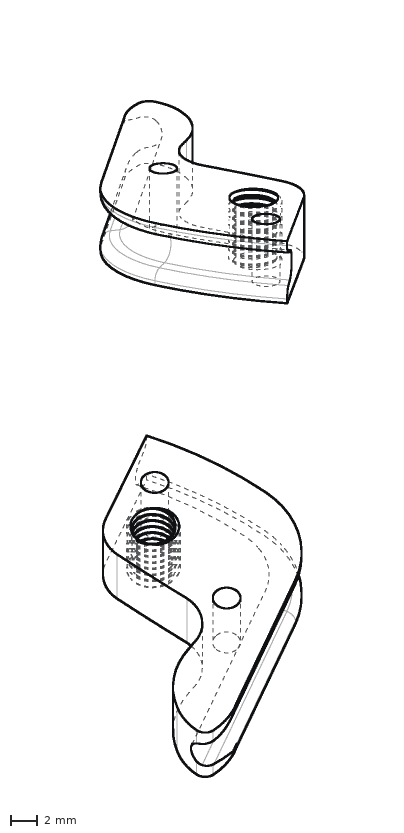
import cadquery as cq
import math

LENGTH = 30.2
HEIGHT = 5.1
MIDDLE = HEIGHT / 2

FLANK_ANGLE = math.radians(36.8)
BELLY_RADIUS = 8.2
BELLY_CENTER = (17.78, BELLY_RADIUS)
BELLY_END_ANGLE = math.radians(31.2)
NOSE = (LENGTH, 8.15)
FLANK_START_X = 2.3

CREST_START = (23.05, 13.62)
CREST_TOP = (21.2, 14.3)
CREST_END = (19.32, 13.85)
BACK_MIDDLE = (16.35, 12.0)
NECK_START = (13.45, 10.08)
NECK_BOTTOM = (11.53, 9.57)
NECK_END = (9.3, 10.57)
TAIL_START = (8.48, 11.53)
TAIL_SHOULDER = (6.28, 13.3)
TAIL_TOP = (3.2, 14.05)
TAIL_SLOPE = (1.8, 13.9)
TIP_START = (0.45, 13.3)
TIP_MIDDLE = (0.03, 12.75)
TIP_END = (0.05, 12.15)
TAIL_UNDERSIDE = (0.97, 10.7)

LIP_STRAIGHT = 0.35
GROOVE_RADIUS = 1.25
GROOVE_FLANK_ANGLE = math.radians(10.5)
GROOVE_DEPTH = 2.48
GROOVE_OVERRUN = 6.05
OUTSIDE_MARGIN = 0.9

PIN_DIAMETER = 2.1
PIN_CENTERS = [(12.62, 7.2), (25.45, 8.97)]
THREAD_CENTER = (21.4, 10.3)
THREAD_MINOR_DIAMETER = 3.32
THREAD_MAJOR_DIAMETER = 4.1
THREAD_PITCH = 0.7
THREAD_MOUTH = 0.65
THREAD_CREST = 0.1
THREAD_OVERLAP = 0.05
THREAD_TOP_ANGLE = 190.0


def belly_point(angle):
    """Point of the belly arc, at an angle measured from straight down."""
    return (
        BELLY_CENTER[0] + BELLY_RADIUS * math.sin(angle),
        BELLY_CENTER[1] - BELLY_RADIUS * math.cos(angle),
    )


BELLY_START = belly_point(-FLANK_ANGLE)
BELLY_BOTTOM = belly_point(0)
BELLY_END = belly_point(BELLY_END_ANGLE)


def flank_point(x):
    """Point at x on the straight flank or its extension."""
    return (x, BELLY_START[1] + (BELLY_START[0] - x) * math.tan(FLANK_ANGLE))


def make_plate():
    return (
        cq.Workplane("XY")
        .moveTo(*flank_point(FLANK_START_X))
        .lineTo(*BELLY_START)
        .threePointArc(BELLY_BOTTOM, BELLY_END)
        .tangentArcPoint(NOSE, relative=False)
        .lineTo(*CREST_START)
        .threePointArc(CREST_TOP, CREST_END)
        .threePointArc(BACK_MIDDLE, NECK_START)
        .threePointArc(NECK_BOTTOM, NECK_END)
        .lineTo(*TAIL_START)
        .threePointArc(TAIL_SHOULDER, TAIL_TOP)
        .threePointArc(TAIL_SLOPE, TIP_START)
        .threePointArc(TIP_MIDDLE, TIP_END)
        .threePointArc(TAIL_UNDERSIDE, flank_point(FLANK_START_X))
        .close()
        .extrude(HEIGHT)
    )


def mirrored(point):
    """Groove section point reflected in the middle plane of the plate."""
    return (point[0], -point[1])


def make_groove():
    """Bell-mouthed groove swept along the lower edge and past both ends."""
    start = flank_point(-GROOVE_OVERRUN)
    path = (
        cq.Workplane("XY", origin=(0, 0, MIDDLE))
        .moveTo(*start)
        .lineTo(*BELLY_START)
        .threePointArc(BELLY_BOTTOM, BELLY_END)
        .tangentArcPoint(NOSE, relative=False)
    )
    chord_angle = math.atan2(NOSE[1] - BELLY_END[1], NOSE[0] - BELLY_END[0])
    nose_angle = 2 * chord_angle - BELLY_END_ANGLE
    path = path.lineTo(
        NOSE[0] + GROOVE_OVERRUN * math.cos(nose_angle),
        NOSE[1] + GROOVE_OVERRUN * math.sin(nose_angle),
    )

    section_plane = cq.Plane(
        origin=(start[0], start[1], MIDDLE),
        xDir=(math.sin(FLANK_ANGLE), math.cos(FLANK_ANGLE), 0),
        normal=(math.cos(FLANK_ANGLE), -math.sin(FLANK_ANGLE), 0),
    )
    mouth = MIDDLE - LIP_STRAIGHT
    sine = math.sin(GROOVE_FLANK_ANGLE)
    cosine = math.cos(GROOVE_FLANK_ANGLE)
    lip_radius = (mouth * cosine - GROOVE_DEPTH * sine) / (1 - sine) - GROOVE_RADIUS
    lip_middle_angle = (math.pi / 2 + GROOVE_FLANK_ANGLE) / 2
    lip_middle = (
        lip_radius * (1 - math.sin(lip_middle_angle)),
        mouth - lip_radius * math.cos(lip_middle_angle),
    )
    lip_end = (lip_radius * (1 - sine), mouth - lip_radius * cosine)
    bottom_start = (GROOVE_DEPTH - GROOVE_RADIUS * (1 - sine), GROOVE_RADIUS * cosine)
    section = (
        cq.Workplane(section_plane)
        .moveTo(0, mouth)
        .threePointArc(lip_middle, lip_end)
        .lineTo(*bottom_start)
        .threePointArc((GROOVE_DEPTH, 0), mirrored(bottom_start))
        .lineTo(*mirrored(lip_end))
        .threePointArc(mirrored(lip_middle), (0, -mouth))
        .lineTo(-OUTSIDE_MARGIN, -mouth)
        .lineTo(-OUTSIDE_MARGIN, mouth)
        .close()
    )
    return section.sweep(path)


def make_pin_holes():
    return cq.Workplane("XY").pushPoints(PIN_CENTERS).circle(PIN_DIAMETER / 2).extrude(HEIGHT)


def make_threaded_hole():
    """Core hole with a right-hand V thread running out through both faces."""
    minor = THREAD_MINOR_DIAMETER / 2
    major = THREAD_MAJOR_DIAMETER / 2
    inner = minor - THREAD_OVERLAP
    half_mouth = THREAD_MOUTH / 2
    half_crest = THREAD_CREST / 2
    helix = cq.Wire.makeHelix(THREAD_PITCH, HEIGHT + 2 * THREAD_PITCH, minor)
    ridge = (
        cq.Workplane("XZ")
        .moveTo(inner, -half_mouth)
        .lineTo(major, -half_crest)
        .lineTo(major, half_crest)
        .lineTo(inner, half_mouth)
        .close()
        .sweep(cq.Workplane(obj=helix), isFrenet=True)
        .translate((0, 0, -THREAD_PITCH))
    )
    core = cq.Workplane("XY").circle(minor).extrude(HEIGHT)
    turn_to_top = 360 * (HEIGHT + THREAD_PITCH) / THREAD_PITCH
    turn = THREAD_TOP_ANGLE - turn_to_top
    return [
        cutter.rotate((0, 0, 0), (0, 0, 1), turn).translate((*THREAD_CENTER, 0))
        for cutter in (ridge, core)
    ]


result = make_plate().cut(make_groove()).cut(make_pin_holes())
for cutter in make_threaded_hole():
    result = result.cut(cutter)